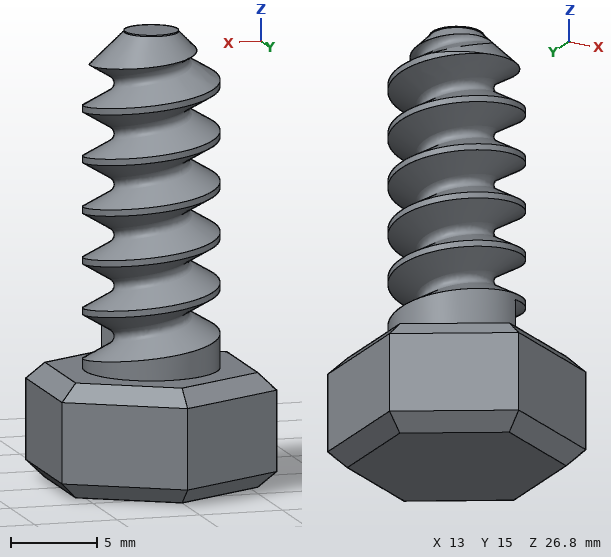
import cadquery as cq
import math

total_height = 26.8
across_flats = 13.0
head_height = 6.8
head_chamfer = 1.0
shank_diameter = 8.0
tip_diameter = 3.2
tip_land = 0.08

pitch = 3.0
root_fillet = 0.43
crest_width = 0.38
flank_angle = 30.0
groove_start_angle = -60.0
groove_start_height = 8.28
groove_turns = 7
cutter_overshoot = 0.13

shank_radius = shank_diameter / 2
tip_chamfer = (shank_diameter - tip_diameter) / 2


def make_head():
    """Hexagonal head with both end faces chamfered and corners on the Y axis."""
    across_corners = across_flats / math.cos(math.pi / 6)
    head = cq.Workplane("XY").polygon(6, across_corners).extrude(head_height)
    head = head.faces("<Z or >Z").chamfer(head_chamfer)
    return head.rotate((0, 0, 0), (0, 0, 1), 30)


def make_shank():
    """Cylinder with a 45 degree conical tip ending in a short land, from the bottom of the head."""
    shank = cq.Workplane("XY").circle(shank_radius).extrude(total_height - tip_land)
    shank = shank.faces(">Z").chamfer(tip_chamfer)
    return shank.faces(">Z").workplane().circle(tip_diameter / 2).extrude(tip_land)


def make_thread_groove():
    """Helical V cutter with straight flanks tangent to a rounded root."""
    angle = math.radians(flank_angle)
    cutter_radius = shank_radius + cutter_overshoot
    outer_half = (pitch - crest_width) / 2 + cutter_overshoot * math.tan(angle)

    apex_radius = cutter_radius - outer_half / math.tan(angle)
    arc_center = apex_radius + root_fillet / math.sin(angle)
    root_radius = arc_center - root_fillet
    tangent_radius = arc_center - root_fillet * math.sin(angle)
    tangent_half = root_fillet * math.cos(angle)

    helix = cq.Wire.makeHelix(pitch, pitch * groove_turns, root_radius)
    section = (
        cq.Workplane("XZ")
        .moveTo(cutter_radius, -outer_half)
        .lineTo(cutter_radius, outer_half)
        .lineTo(tangent_radius, tangent_half)
        .threePointArc((root_radius, 0), (tangent_radius, -tangent_half))
        .close()
    )
    groove = section.sweep(cq.Workplane(helix), isFrenet=True)
    groove = groove.rotate((0, 0, 0), (0, 0, 1), groove_start_angle)
    return groove.translate((0, 0, groove_start_height))


result = make_shank().cut(make_thread_groove()).union(make_head())